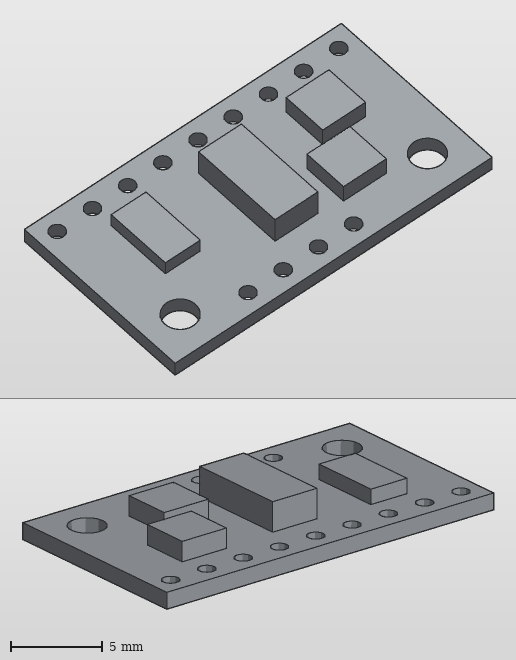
import cadquery as cq

board_width = 12.7
board_length = 22.85
board_thickness = 1.0
total_height = 2.81

pin_pitch = 2.54
pin_diameter = 1.0
pin_column_x = 2 * pin_pitch
left_pin_rows = range(-4, 5)
right_pin_rows = range(-2, 2)

mount_diameter = 2.2
mount_x = 3.85
mount_y = 8.92

square_chip_side = 3.09
square_chip_height = 1.21
square_chip_centers = [(-1.92, 6.52), (1.92, 4.73)]

main_chip_length = 6.45
main_chip_width = 3.09
main_chip_height = total_height - board_thickness

low_chip_length = 4.57
low_chip_width = 2.51
low_chip_height = 0.91
low_chip_center = (-1.2, -6.38)


def chip(length, width, height, center):
    """Rectangular component standing on the board's top face."""
    x, y = center
    block = cq.Workplane("XY").box(length, width, height, centered=(True, True, False))
    return block.translate((x, y, board_thickness))


def drill(body, points, diameter):
    """Cut round through holes at the given points of the board."""
    holes = cq.Workplane("XY").pushPoints(points).circle(diameter / 2).extrude(board_thickness)
    return body.cut(holes)


board = cq.Workplane("XY").box(
    board_width, board_length, board_thickness, centered=(True, True, False)
)

left_pins = [(-pin_column_x, row * pin_pitch) for row in left_pin_rows]
right_pins = [(pin_column_x, row * pin_pitch) for row in right_pin_rows]
board = drill(board, left_pins + right_pins, pin_diameter)
board = drill(board, [(mount_x, -mount_y), (mount_x, mount_y)], mount_diameter)

result = board
for square_center in square_chip_centers:
    result = result.union(
        chip(square_chip_side, square_chip_side, square_chip_height, square_center)
    )
result = result.union(chip(main_chip_length, main_chip_width, main_chip_height, (0, 0)))
result = result.union(chip(low_chip_length, low_chip_width, low_chip_height, low_chip_center))